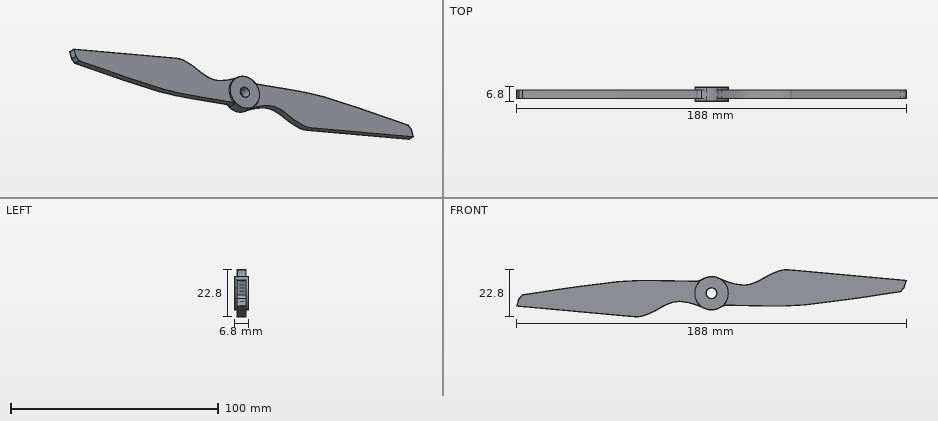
import cadquery as cq
import math

span = 188.0
hub_diameter = 16.2
hub_length = 6.8
bore_diameter = 5.0
blade_thickness = 4.3

tip_x = span / 2
hub_radius = hub_diameter / 2

upper_root_x = 3.2
lower_root_x = 4.9


def rim_height(x):
    """Height of the hub rim above its axis at distance x from the centre."""
    return math.sqrt(hub_radius**2 - x**2)


upper_root = (upper_root_x, rim_height(upper_root_x))
upper_neck = [(7.0, 5.8), (11.3, 4.5), (15.6, 4.0), (21.6, 5.5), (28.2, 9.0), (32.3, 10.7)]
upper_crest = (38.4, 11.3)
tip_upper = (tip_x, 6.2)
tip_middle = (92.9, 2.6)
tip_lower = (91.2, 0.8)
lower_bend = (45.1, -5.6)
lower_edge = [(82.7, -0.5), (72.8, -2.0), (59.0, -4.0), lower_bend, (33.8, -6.2), (18.8, -6.0)]
lower_neck = (7.0, -5.8)
lower_root = (lower_root_x, -rim_height(lower_root_x))

root_direction = (upper_root[1], -upper_root[0])
crest_direction = (tip_upper[0] - upper_crest[0], tip_upper[1] - upper_crest[1])


def centred_plane(length):
    """XZ plane from which an extrusion of this length (toward -Y) is centred on Y = 0."""
    return cq.Workplane("XZ", origin=(0, length / 2, 0))


def make_blade():
    return (
        centred_plane(blade_thickness)
        .moveTo(*upper_root)
        .spline(
            upper_neck + [upper_crest],
            tangents=[root_direction, crest_direction],
            includeCurrent=True,
        )
        .lineTo(*tip_upper)
        .lineTo(*tip_middle)
        .lineTo(*tip_lower)
        .spline(lower_edge + [lower_neck], includeCurrent=True)
        .lineTo(*lower_root)
        .lineTo(0, 0)
        .close()
        .extrude(blade_thickness)
    )


hub = centred_plane(hub_length).circle(hub_radius).extrude(hub_length)
bore = centred_plane(hub_length).circle(bore_diameter / 2).extrude(hub_length)

blade = make_blade()
opposite_blade = blade.rotate((0, 0, 0), (0, 1, 0), 180)

result = hub.union(blade).union(opposite_blade).cut(bore)